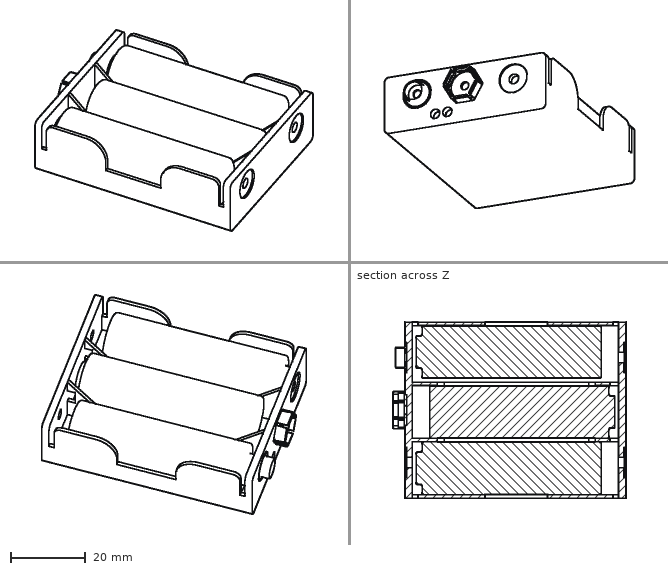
import cadquery as cq
import math

overall_length = 62.2
length = 59.0
width = 47.0
height = 16.1
end_wall = 2.05
side_wall = 1.0
floor_thickness = 2.0
corner_radius = 1.35

slot_width = 1.4
slot_floor_z = 7.9
wall_tip_radius = 2.0

cutout_start = 21.45
cutout_width = 16.55
cutout_floor_z = 7.5
cutout_lip_radius = 6.0

battery_diameter = 14.0
battery_radius = battery_diameter / 2
battery_length = 47.9
battery_edge_radius = 0.45
nub_radius = 4.35
nub_length = 1.55
nub_edge_radius = 0.45
nub_root_radius = 0.4
battery_axis_z = floor_thickness + battery_radius
outer_battery_y = width / 2 - side_wall - battery_radius
middle_battery_y = -0.5
outer_battery_start = 4.55
middle_battery_start = 6.6

partition_thickness = 1.0
partition_height = 8.1
terminal_end_slope = 8.45
plain_end_slope = 7.9
wire_notch_length = 2.2
wire_notch_top_z = 12.4

terminal_spacing = 14.0
terminal_z = 10.1
seat_radius = 4.05
seat_depth = 0.5
contact_hole_radius = 1.35
wire_hole_radius = 1.3
wire_hole_z = 3.5
wire_hole_ys = (5.15, 8.7)

rivet_hole_radius = 1.1

stud_flange_radius = 3.6
stud_radius = 2.85
stud_bore_radius = 2.5
stud_length = 2.5
stud_tip_radius = 0.2
stud_root_radius = 0.2

hex_flats = 9.0
hex_length = overall_length - length
hex_base = 0.2
hex_tip_chamfer = 0.2
lip_thickness = 0.7
lip_length = 1.4
leaf_thickness = 0.4
leaf_slit = 0.75


def box(x_range, y_range, z_range):
    """Block between two limits along each axis."""
    size = [high - low for low, high in (x_range, y_range, z_range)]
    corner = (x_range[0], y_range[0], z_range[0])
    return cq.Workplane("XY").box(*size, centered=False).translate(corner)


def rod(x_start, rod_length, radius, y, z):
    """Cylinder along +X."""
    return cq.Workplane("YZ", origin=(x_start, y, z)).circle(radius).extrude(rod_length)


def hex_prism(x_start, prism_length, flats):
    """Hexagonal prism along +X on the middle terminal's axis, with flats above and below."""
    plane = cq.Workplane("YZ", origin=(x_start, 0, terminal_z))
    return plane.polygon(6, flats / math.cos(math.pi / 6)).extrude(prism_length)


def root_of(radius, y, z):
    """Selector for the circle where a round boss of this radius meets the face at X = 0."""
    margin = 0.05
    reach = radius + margin
    low_corner = (-margin, y - reach, z - reach)
    high_corner = (margin, y + reach, z + reach)
    return cq.selectors.BoxSelector(low_corner, high_corner, boundingbox=True)


def side_wall_openings():
    """Cutters across both side walls: two end slots and the flared finger cutout."""
    y_start = width / 2
    plane = cq.Workplane("XZ", origin=(0, y_start, 0))
    tip_z = height - wall_tip_radius

    slot_start = end_wall
    slot_end = end_wall + slot_width
    near_slot = (
        plane.moveTo(slot_start, slot_floor_z)
        .lineTo(slot_end, slot_floor_z)
        .lineTo(slot_end, tip_z)
        .radiusArc((slot_end + wall_tip_radius, height), wall_tip_radius)
        .lineTo(slot_start, height)
        .close()
        .extrude(width)
    )
    far_slot = near_slot.mirror("YZ", (length / 2, 0, 0))

    cutout_end = cutout_start + cutout_width
    lip_z = height - cutout_lip_radius
    cutout = (
        plane.moveTo(cutout_start, cutout_floor_z)
        .lineTo(cutout_end, cutout_floor_z)
        .lineTo(cutout_end, lip_z)
        .radiusArc((cutout_end + cutout_lip_radius, height), cutout_lip_radius)
        .lineTo(cutout_start - cutout_lip_radius, height)
        .radiusArc((cutout_start, lip_z), cutout_lip_radius)
        .close()
        .extrude(width)
    )
    return near_slot.union(far_slot).union(cutout)


def partition(y_start):
    """Low wall between two bays that slopes up to the top of both end walls."""
    inner_start = end_wall
    inner_end = length - end_wall
    wall = (
        cq.Workplane("XZ", origin=(0, y_start + partition_thickness, 0))
        .moveTo(inner_start, 0)
        .lineTo(inner_end, 0)
        .lineTo(inner_end, height)
        .lineTo(inner_end - plain_end_slope, partition_height)
        .lineTo(inner_start + terminal_end_slope, partition_height)
        .lineTo(inner_start, height)
        .close()
        .extrude(partition_thickness)
    )
    notch = box(
        (inner_end - wire_notch_length, inner_end),
        (y_start, y_start + partition_thickness),
        (slot_floor_z, wire_notch_top_z),
    )
    return wall.cut(notch)


def make_housing():
    body = box((0, length), (-width / 2, width / 2), (0, height)).edges("|X").fillet(corner_radius)
    inner_y = width / 2 - side_wall
    bay = box((end_wall, length - end_wall), (-inner_y, inner_y), (floor_thickness, height))

    for y_start in (-width / 2, inner_y):
        strip = (end_wall, length - end_wall), (y_start, y_start + side_wall)
        body = body.union(box(*strip, (height / 2, height)))
    body = body.cut(bay).cut(side_wall_openings())

    body = body.union(partition(middle_battery_y + battery_radius))
    body = body.union(partition(middle_battery_y - battery_radius - partition_thickness))

    for y in (-terminal_spacing, 0, terminal_spacing):
        body = body.cut(rod(0, seat_depth, seat_radius, y, terminal_z))
    body = body.cut(rod(0, end_wall, contact_hole_radius, -terminal_spacing, terminal_z))
    for y in (-terminal_spacing, terminal_spacing):
        body = body.cut(rod(length - seat_depth, seat_depth, seat_radius, y, terminal_z))
        body = body.cut(rod(length - end_wall, end_wall, contact_hole_radius, y, terminal_z))

    for y in wire_hole_ys:
        body = body.cut(rod(0, end_wall, wire_hole_radius, y, wire_hole_z))
    return body


def make_battery(x_start, y, nub_direction):
    """Battery whose case starts at x_start, with its nub toward -X (-1) or +X (+1)."""
    case = rod(0, battery_length, battery_radius, 0, 0).edges().fillet(battery_edge_radius)
    nub = rod(-nub_length, nub_length, nub_radius, 0, 0).faces("<X").edges().fillet(nub_edge_radius)
    battery = case.union(nub)
    battery = battery.edges(root_of(nub_radius, 0, 0)).fillet(nub_root_radius)
    if nub_direction > 0:
        battery = battery.mirror("YZ", (battery_length / 2, 0, 0))
    return battery.translate((x_start, y, battery_axis_z))


def make_round_terminal():
    """Hollow stud on a flange that sits in its seat."""
    y = terminal_spacing
    flange = rod(0, seat_depth, stud_flange_radius, y, terminal_z)
    stud = rod(-stud_length, stud_length, stud_radius, y, terminal_z)
    stud = stud.faces("<X").edges().fillet(stud_tip_radius)
    bore = rod(-stud_length, stud_length, stud_bore_radius, y, terminal_z)
    rivet_hole = rod(0, seat_depth, rivet_hole_radius, y, terminal_z)
    terminal = flange.union(stud)
    terminal = terminal.edges(root_of(stud_radius, y, terminal_z)).fillet(stud_root_radius)
    return terminal.cut(bore).cut(rivet_hole)


def make_hex_terminal():
    """Six spring leaves with inward lips, standing on a hexagonal plate with a seat disc."""
    seat_disc = rod(0, seat_depth, seat_radius, 0, terminal_z)
    plate = hex_prism(-hex_base, hex_base, hex_flats)

    lip_end = lip_length - hex_length
    leaves = hex_prism(-hex_length, hex_length - hex_base, hex_flats)
    leaves = leaves.faces("<X").edges().chamfer(hex_tip_chamfer)
    leaves = leaves.cut(hex_prism(-hex_length, lip_length, hex_flats - 2 * lip_thickness))
    leaves = leaves.cut(hex_prism(lip_end, -hex_base - lip_end, hex_flats - 2 * leaf_thickness))
    slit = box((-hex_length, -hex_base), (-hex_flats, hex_flats), (-leaf_slit / 2, leaf_slit / 2))
    for angle in (0, 60, 120):
        turned = slit.rotate((0, 0, 0), (1, 0, 0), angle)
        leaves = leaves.cut(turned.translate((0, 0, terminal_z)))

    rivet_hole = rod(-hex_base, hex_base + seat_depth, rivet_hole_radius, 0, terminal_z)
    return plate.union(seat_disc).union(leaves).cut(rivet_hole)


housing = make_housing()
round_terminal = make_round_terminal()
hex_terminal = make_hex_terminal()

battery_places = (
    (outer_battery_start, outer_battery_y, -1),
    (middle_battery_start, middle_battery_y, 1),
    (outer_battery_start, -outer_battery_y, -1),
)
batteries = [make_battery(*place).val() for place in battery_places]

result = cq.Compound.makeCompound([housing.val(), round_terminal.val(), hex_terminal.val(), *batteries])